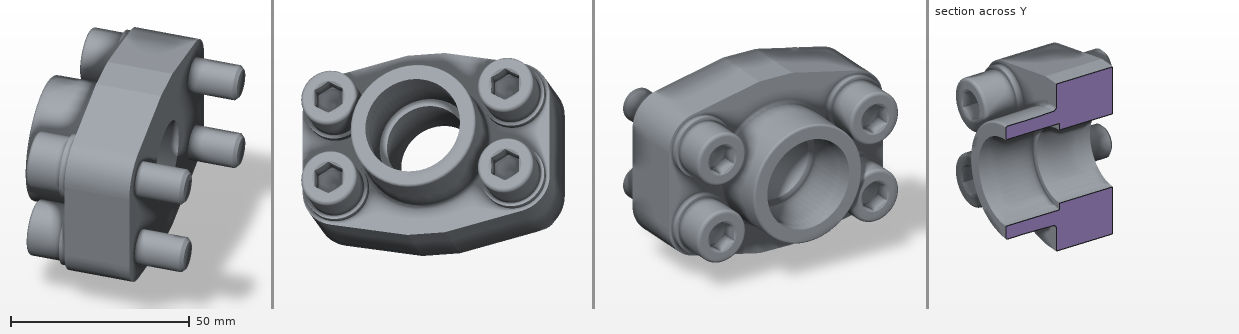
import cadquery as cq
import math

plate_front = 17.0
plate_thickness = 19.0
plate_length = 71.0
plate_height = 53.0
flank_slope = math.radians(12)
flank_blend_radius = 1.0

bolt_spacing_y = 50.8
bolt_spacing_z = 23.8
bolt_y = bolt_spacing_y / 2
bolt_z = bolt_spacing_z / 2
corner_radius = plate_length / 2 - bolt_y

collar_tip_radius = 17.95
collar_root_radius = 18.2
collar_tip_fillet = 0.7
collar_root_fillet = 1.0
bore_diameter = 23.0
socket_diameter = 27.2
socket_depth = 18.0

washer_diameter = 18.0
washer_thickness = 2.0
head_diameter = 16.0
head_height = 10.0
head_fillet = 1.0
shank_diameter = 10.0
shank_end_chamfer = 1.0
screw_end = 50.0
hex_across_flats = 8.0
hex_depth = 5.0
hex_mouth_diameter = 9.45
recess_cone_slope = math.radians(30)

plate_back = plate_front + plate_thickness
washer_front = plate_front - washer_thickness
head_front = washer_front - head_height
hex_across_corners = hex_across_flats / math.cos(math.radians(30))


def cylinder_x(diameter, start, end):
    """Cylinder about the X axis from x = start to x = end."""
    return cq.Workplane("YZ", origin=(start, 0, 0)).circle(diameter / 2).extrude(end - start)


def revolve_about_x(profile):
    """Turn an XY profile, where Y is the radius, about the X axis."""
    return profile.close().revolve(360, (0, 0, 0), (1, 0, 0))


def make_plate():
    """Plate with a short flat above and below, sloping flanks and rounded corners."""
    half_length = plate_length / 2
    half_height = plate_height / 2

    def corner_point(angle):
        """Point on the corner arc, with the angle measured from +Z toward +Y."""
        return (bolt_y + corner_radius * math.sin(angle), bolt_z + corner_radius * math.cos(angle))

    flank_end = corner_point(flank_slope)
    arc_middle = corner_point((flank_slope + math.pi / 2) / 2)
    flat_half = flank_end[0] - (half_height - flank_end[1]) / math.tan(flank_slope)

    quarter = (
        cq.Workplane("YZ", origin=(plate_front, 0, 0))
        .lineTo(0, half_height)
        .lineTo(flat_half, half_height)
        .lineTo(*flank_end)
        .threePointArc(arc_middle, (half_length, bolt_z))
        .lineTo(half_length, 0)
        .close()
        .extrude(plate_thickness)
    )
    half = quarter.union(quarter.mirror("XZ"))
    plate = half.union(half.mirror("XY")).clean()

    for side_y in (-1, 1):
        for side_z in (-1, 1):
            corner = (plate_front, side_y * flat_half, side_z * half_height)
            edge = plate.edges("|X").edges(cq.selectors.NearestToPointSelector(corner))
            plate = edge.fillet(flank_blend_radius)
    return plate


def make_collar():
    """Collar whose root flares into the plate face, with a rounded tip."""
    root_start = plate_front - collar_root_fillet
    root_outer = collar_root_radius + collar_root_fillet
    quarter_arc = collar_root_fillet * math.sqrt(0.5)
    profile = (
        cq.Workplane("XY")
        .lineTo(0, collar_tip_radius)
        .lineTo(root_start, collar_root_radius)
        .threePointArc(
            (root_start + quarter_arc, root_outer - quarter_arc),
            (plate_front, root_outer),
        )
        .lineTo(plate_front, 0)
    )
    return revolve_about_x(profile).faces("<X").edges().fillet(collar_tip_fillet)


def make_hex_socket():
    """Hexagonal recess with a chamfered mouth and a conical drill point."""
    hexagon = (
        cq.Workplane("YZ", origin=(head_front, 0, 0))
        .transformed(rotate=(0, 0, 90))
        .polygon(6, hex_across_corners)
        .extrude(hex_depth)
    )
    floor = head_front + hex_depth
    point_radius = hex_across_flats / 2
    drill_point = revolve_about_x(
        cq.Workplane("XY")
        .moveTo(floor, 0)
        .lineTo(floor, point_radius)
        .lineTo(floor + point_radius * math.tan(recess_cone_slope), 0)
    )
    mouth_radius = hex_mouth_diameter / 2
    mouth = revolve_about_x(
        cq.Workplane("XY")
        .moveTo(head_front, 0)
        .lineTo(head_front, mouth_radius)
        .lineTo(head_front + mouth_radius * math.tan(recess_cone_slope), 0)
    )
    return hexagon.union(drill_point).union(mouth)


def make_screw():
    """Screw and washer about the X axis."""
    head = cylinder_x(head_diameter, head_front, washer_front).faces("<X").edges().fillet(head_fillet)
    washer = cylinder_x(washer_diameter, washer_front, plate_front)
    shank = cylinder_x(shank_diameter, washer_front, screw_end).faces(">X").chamfer(shank_end_chamfer)
    return head.union(washer).union(shank).cut(make_hex_socket())


result = make_plate().union(make_collar())
result = result.cut(cylinder_x(bore_diameter, 0, plate_back))
result = result.cut(cylinder_x(socket_diameter, 0, socket_depth))

screw = make_screw()
for side_y in (-1, 1):
    for side_z in (-1, 1):
        result = result.union(screw.translate((0, side_y * bolt_y, side_z * bolt_z)))